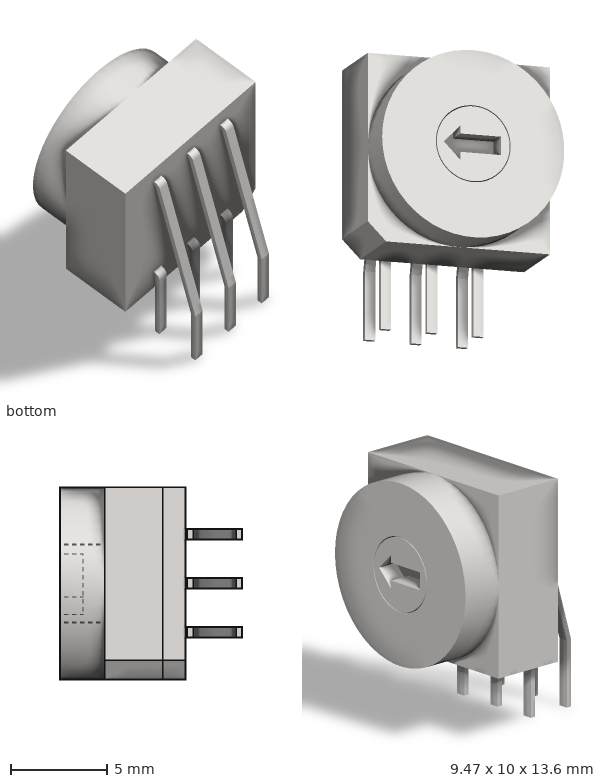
import cadquery as cq
import math

case_side = 10.0
collar_depth = 2.33
housing_depth = 3.0
base_depth = 1.2
corner_chamfer = 1.0
housing_front = collar_depth
base_front = housing_front + housing_depth
base_rear = base_front + base_depth

bore_radius = 2.05
rotor_radius = 2.0

arrow_tip = 1.62
arrow_neck = 0.71
arrow_tail = -1.52
arrow_head_half_width = 0.91
arrow_shaft_half_width = 0.49
arrow_depth = 1.2

overall_length = 9.47
overall_height = 13.6
pitch = 2.55
strip_thickness = 0.3
strip_width = 0.56
bend_inner_radius = 0.08
upper_exit_z = 3.81
exit_spacing = 7.62
lower_exit_z = upper_exit_z - exit_spacing
knee_z = -4.92
tip_z = case_side / 2 - overall_height
outer_row_x = overall_length - strip_thickness / 2
inner_row_x = outer_row_x - pitch
terminal_positions = [-pitch, 0, pitch]


def make_case_slab(front, depth):
    """Square slab with its +Y, -Z corner cut off."""
    slab = cq.Workplane("YZ", origin=(front, 0, 0)).rect(case_side, case_side).extrude(depth)
    return slab.edges("|X").edges(">Y").edges("<Z").chamfer(corner_chamfer)


def make_collar():
    """Round collar with a through bore for the rotor."""
    return cq.Workplane("YZ").circle(case_side / 2).circle(bore_radius).extrude(collar_depth)


def make_rotor():
    """Cylindrical rotor with an arrow-shaped screwdriver recess."""
    rotor = cq.Workplane("YZ").circle(rotor_radius).extrude(collar_depth)
    arrow = (
        cq.Workplane("YZ")
        .moveTo(arrow_tip, 0)
        .lineTo(arrow_neck, arrow_head_half_width)
        .lineTo(arrow_neck, arrow_shaft_half_width)
        .lineTo(arrow_tail, arrow_shaft_half_width)
        .lineTo(arrow_tail, -arrow_shaft_half_width)
        .lineTo(arrow_neck, -arrow_shaft_half_width)
        .lineTo(arrow_neck, -arrow_head_half_width)
        .close()
        .extrude(arrow_depth)
    )
    return rotor.cut(arrow)


def offset_path(path, distance):
    """Shift an open XZ path sideways (positive to its left), with mitred corners."""
    headings = [math.atan2(z1 - z0, x1 - x0) for (x0, z0), (x1, z1) in zip(path, path[1:])]
    before = [headings[0]] + headings
    after = headings + [headings[-1]]
    shifted = []
    for (x, z), heading_in, heading_out in zip(path, before, after):
        normal = (heading_in + heading_out) / 2 + math.pi / 2
        reach = distance / math.cos((heading_out - heading_in) / 2)
        shifted.append((x + reach * math.cos(normal), z + reach * math.sin(normal)))
    return shifted


def make_terminal(path, y):
    """Strip along a centre path, centred on y and rounded at the first bend."""
    outer = offset_path(path, strip_thickness / 2)
    inner = offset_path(path, -strip_thickness / 2)
    strip = (
        cq.Workplane("XZ", origin=(0, y, 0))
        .polyline(outer + inner[::-1])
        .close()
        .extrude(strip_width / 2, both=True)
    )
    bends = [(outer[1], bend_inner_radius + strip_thickness), (inner[1], bend_inner_radius)]
    for (x, z), radius in bends:
        strip = strip.edges(cq.NearestToPointSelector((x, y, z))).fillet(radius)
    return strip


upper_path = [
    (base_rear, upper_exit_z),
    (inner_row_x, upper_exit_z),
    (outer_row_x, knee_z),
    (outer_row_x, tip_z),
]
lower_path = [
    (base_rear, lower_exit_z),
    (inner_row_x, lower_exit_z),
    (inner_row_x, tip_z),
]

collar = make_collar()
rotor = make_rotor()
housing = make_case_slab(housing_front, housing_depth)
base = make_case_slab(base_front, base_depth)
upper_terminals = [make_terminal(upper_path, y) for y in terminal_positions]
lower_terminals = [make_terminal(lower_path, y) for y in terminal_positions]

result = cq.Compound.makeCompound(
    [
        collar.val(),
        rotor.val(),
        housing.val(),
        base.val(),
        *[terminal.val() for terminal in upper_terminals],
        *[terminal.val() for terminal in lower_terminals],
    ]
)